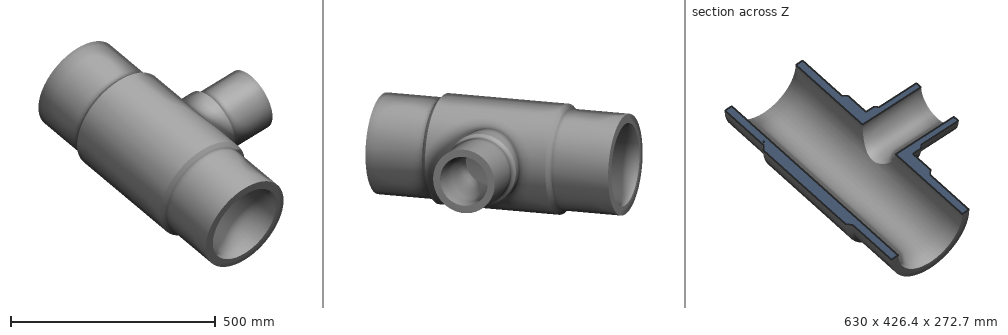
import cadquery as cq

run_length = 630.0
run_diameter = 250.0
run_wall = 22.7
run_bore = run_diameter - 2 * run_wall

sleeve_length = 335.0
sleeve_diameter = run_diameter + run_wall
sleeve_chamfer = (sleeve_diameter - run_diameter) / 2

branch_reach = 290.0
branch_diameter = 160.0
branch_wall = 18.2
branch_bore = branch_diameter - 2 * branch_wall

collar_reach = 171.0
collar_diameter = branch_diameter + branch_wall
collar_chamfer = (collar_diameter - branch_diameter) / 2


def run_cylinder(diameter, length):
    """Cylinder along X, centred on the origin."""
    return cq.Workplane("YZ").circle(diameter / 2).extrude(length / 2, both=True)


def branch_cylinder(diameter, reach):
    """Cylinder along +Y, starting on the run axis."""
    return cq.Workplane("XZ").circle(diameter / 2).extrude(-reach)


def make_run():
    sleeve = run_cylinder(sleeve_diameter, sleeve_length)
    sleeve = sleeve.faces("<X or >X").chamfer(sleeve_chamfer)
    return run_cylinder(run_diameter, run_length).union(sleeve)


def make_branch():
    collar = branch_cylinder(collar_diameter, collar_reach)
    collar = collar.faces(">Y").chamfer(collar_chamfer)
    return branch_cylinder(branch_diameter, branch_reach).union(collar)


outside = make_run().union(make_branch())
result = outside.cut(run_cylinder(run_bore, run_length)).cut(branch_cylinder(branch_bore, branch_reach))